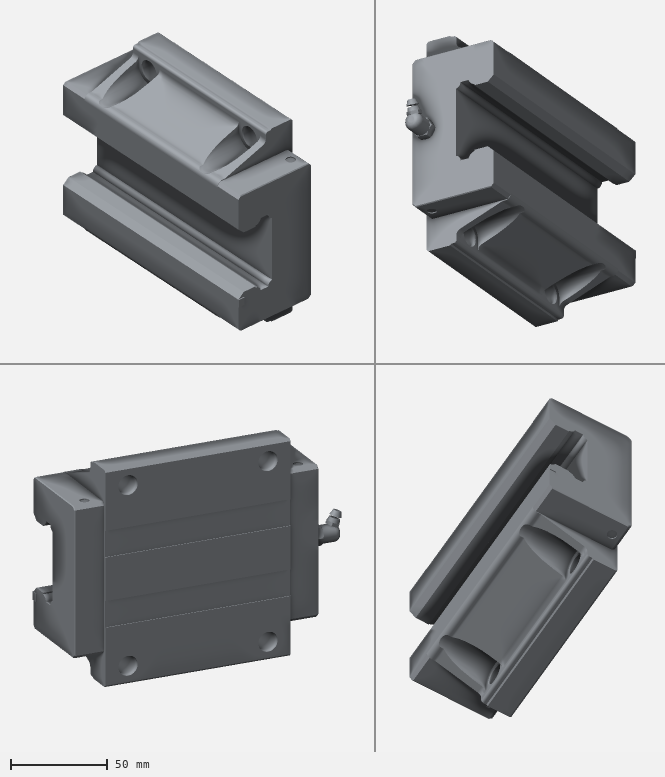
import cadquery as cq
import math


overall_length = 156.7
carriage_depth = 51.1
flange_half_width = 60.0

block_length = 105.8
block_half_width = 42.6
block_foot_radius = 3.3
flange_edge_chamfer = 1.1
flange_step_y = -14.3
flange_step = 0.8
flange_ledge_y = -18.2
flange_ledge_radius = 1.5
slope_end_y = -46.0
slope_angle = 20.0
slope_root_radius = 3.1
slope_foot_radius = 2.7

relief_inner_z = 12.0
relief_outer_z = 26.8
relief_depth = 0.5

hole_spacing_x = 79.9
hole_spacing_z = 100.0
hole_diameter = 11.0
hole_chamfer = 0.55
spotface_diameter = 17.0

cap_half_span = 69.7
cap_half_width = 42.2
cap_face_y = -1.5
cap_corner_chamfer = 1.9
cap_end_chamfer = 0.5
pin_hole_x = 61.0
pin_hole_y = -8.1
pin_hole_diameter = 5.3
pin_hole_depth = 0.6

tab_projection = 0.5
tab_height = 3.8
tab_inner_z = -21.6
tab_width = 4.7

channel_floor_y = -28.2
race_edge_half_width = 19.3
race_groove_half_width = 22.4
race_groove_start_y = -30.9
race_groove_end_y = -35.9
race_bulge = 0.8
lip_half_width = 18.5
lip_start_y = -39.5
lip_end_y = -47.5
lip_mouth_half_width = 21.8

nipple_y = -10.3
nipple_hex_flats = 10.0
nipple_hex_length = 4.7
nipple_hex_bevel = 0.6
elbow_diameter = 9.9
elbow_end_x = -85.0
elbow_end_radius = 3.1
spout_tilt = 22.5
spout_hex_flats = 7.0
spout_hex_start = 4.5
spout_hex_end = 6.5
collar_end = 8.6
collar_end_radius = 3.0
neck_radius = 0.6
head_start = 9.7
head_end = 12.7
head_base_radius = 3.3
head_top_radius = 2.2
head_hole_diameter = 1.9
head_hole_depth = 0.8

tilt_sin = math.sin(math.radians(spout_tilt))
tilt_cos = math.cos(math.radians(spout_tilt))
head_reach = head_end * tilt_sin + head_top_radius * tilt_cos
spout_x = cap_half_span + tab_projection - overall_length + head_reach


def extrude_along_x(sketch_on_yz, length):
    """Extrude a closed YZ outline symmetrically about X = 0."""
    return sketch_on_yz.extrude(length / 2, both=True)


def round_edges_at(body, radius, y, z):
    """Fillet the lengthwise edges through (y, z) and (y, -z)."""
    for side in (1, -1):
        body = body.edges(cq.NearestToPointSelector((0, y, side * z))).fillet(radius)
    return body


def make_block():
    slope_rise = (flange_ledge_y - slope_end_y) * math.tan(math.radians(slope_angle))
    slope_root_z = block_half_width + slope_rise
    ledge_z = flange_half_width - flange_step
    half_outline = [
        (0, flange_half_width - flange_edge_chamfer),
        (-flange_edge_chamfer, flange_half_width),
        (flange_step_y, flange_half_width),
        (flange_step_y - flange_step, ledge_z),
        (flange_ledge_y, ledge_z),
        (flange_ledge_y, slope_root_z),
        (slope_end_y, block_half_width),
        (-carriage_depth, block_half_width),
    ]
    mirrored = [(y, -z) for y, z in reversed(half_outline)]
    block = extrude_along_x(cq.Workplane("YZ").polyline(half_outline + mirrored).close(), block_length)
    block = round_edges_at(block, flange_ledge_radius, flange_ledge_y, ledge_z)
    block = round_edges_at(block, slope_root_radius, flange_ledge_y, slope_root_z)
    block = round_edges_at(block, slope_foot_radius, slope_end_y, block_half_width)
    block = round_edges_at(block, block_foot_radius, -carriage_depth, block_half_width)

    relief_width = relief_outer_z - relief_inner_z
    relief_centre_z = (relief_outer_z + relief_inner_z) / 2
    for side in (1, -1):
        relief = cq.Workplane("XY").box(block_length, 2 * relief_depth, relief_width)
        block = block.cut(relief.translate((0, 0, side * relief_centre_z)))
    return block


def make_mounting_hole_cutter(x, side):
    """Through hole with a spotface that is open toward the flange edge."""
    centre_z = side * hole_spacing_z / 2
    spot_depth = carriage_depth + flange_ledge_y
    mouth_width = flange_half_width - hole_spacing_z / 2
    plane = cq.Workplane("XZ", origin=(x, 0, centre_z))
    hole = plane.circle(hole_diameter / 2).extrude(carriage_depth)
    spot_plane = plane.workplane(offset=-flange_ledge_y)
    spot = spot_plane.circle(spotface_diameter / 2).extrude(spot_depth)
    mouth = (
        spot_plane.center(0, side * mouth_width / 2)
        .rect(spotface_diameter, mouth_width)
        .extrude(spot_depth)
    )
    countersink = (
        spot_plane.circle(hole_diameter / 2 + hole_chamfer)
        .workplane(offset=-hole_chamfer)
        .circle(hole_diameter / 2)
        .loft()
    )
    return hole.union(spot).union(mouth).union(countersink)


def make_caps():
    """Both end caps as one bar; the steel block covers its middle."""
    height = carriage_depth + cap_face_y
    centre_y = (cap_face_y - carriage_depth) / 2
    bar = cq.Workplane("XY").box(2 * cap_half_span, height, 2 * cap_half_width)
    bar = bar.edges("|X").chamfer(cap_corner_chamfer).translate((0, centre_y, 0))
    end_edge_limit_y = -carriage_depth + 2 * cap_corner_chamfer
    upper_region = cq.selectors.BoxSelector(
        (-cap_half_span - 1.5, end_edge_limit_y, -cap_half_width - 1.5),
        (cap_half_span + 1.5, 1.5, cap_half_width + 1.5),
    )
    end_edges = bar.faces("<X or >X").edges(upper_region)
    bar = end_edges.chamfer(cap_end_chamfer)
    for x in (-pin_hole_x, pin_hole_x):
        for side in (1, -1):
            pin_hole = (
                cq.Workplane("XY", origin=(x, pin_hole_y, side * cap_half_width))
                .circle(pin_hole_diameter / 2)
                .extrude(-side * pin_hole_depth)
            )
            bar = bar.cut(pin_hole)
    return bar


def make_seal_tab():
    return cq.Workplane("XY").box(2 * tab_projection, tab_height, tab_width).translate(
        (cap_half_span, -carriage_depth + tab_height / 2, tab_inner_z - tab_width / 2)
    )


def make_channel_cutter():
    """Rail channel with a bulged race on each flank of its undercut grooves."""
    mouth_y = -carriage_depth
    outline = (
        cq.Workplane("YZ")
        .moveTo(channel_floor_y, -race_edge_half_width)
        .lineTo(channel_floor_y, race_edge_half_width)
        .sagittaArc((race_groove_start_y, race_groove_half_width), race_bulge)
        .lineTo(race_groove_end_y, race_groove_half_width)
        .sagittaArc((lip_start_y, race_edge_half_width), race_bulge)
        .lineTo(lip_start_y, lip_half_width)
        .lineTo(lip_end_y, lip_half_width)
        .lineTo(mouth_y, lip_mouth_half_width)
        .lineTo(mouth_y, -lip_mouth_half_width)
        .lineTo(lip_end_y, -lip_half_width)
        .lineTo(lip_start_y, -lip_half_width)
        .lineTo(lip_start_y, -race_edge_half_width)
        .sagittaArc((race_groove_end_y, -race_groove_half_width), race_bulge)
        .lineTo(race_groove_start_y, -race_groove_half_width)
        .sagittaArc((channel_floor_y, -race_edge_half_width), race_bulge)
        .close()
    )
    return extrude_along_x(outline, 2 * cap_half_span)


def corner_diameter(flats):
    return flats / math.cos(math.pi / 6)


def make_spout():
    """Turned spout along local +Z, starting on the elbow axis."""
    hexagon = (
        cq.Workplane("XY", origin=(0, 0, spout_hex_start))
        .polygon(6, corner_diameter(spout_hex_flats))
        .extrude(spout_hex_end - spout_hex_start)
    )
    turned_profile = [
        (0, 0),
        (neck_radius, 0),
        (neck_radius, spout_hex_start),
        (spout_hex_flats / 2, spout_hex_start),
        (spout_hex_flats / 2, spout_hex_end),
        (collar_end_radius, collar_end),
        (neck_radius, collar_end),
        (neck_radius, head_start),
        (head_base_radius, head_start),
        (head_top_radius, head_end),
        (0, head_end),
    ]
    turned = cq.Workplane("XZ").polyline(turned_profile).close().revolve(360, (0, 0), (0, 1))
    head_hole = (
        cq.Workplane("XY", origin=(0, 0, head_end))
        .circle(head_hole_diameter / 2)
        .extrude(-head_hole_depth)
    )
    return hexagon.union(turned).cut(head_hole)


def make_nipple():
    base = cq.Workplane("YZ", origin=(-cap_half_span, nipple_y, 0))
    hexagon = base.polygon(6, corner_diameter(nipple_hex_flats)).extrude(-nipple_hex_length)
    bevel_blank = base.circle(corner_diameter(nipple_hex_flats) / 2).extrude(-nipple_hex_length)
    hexagon = hexagon.intersect(bevel_blank.edges().chamfer(nipple_hex_bevel))
    elbow = base.circle(elbow_diameter / 2).extrude(elbow_end_x + cap_half_span)
    elbow = elbow.faces("<X").edges().fillet(elbow_end_radius)
    spout = make_spout().rotate((0, 0, 0), (0, 1, 0), -spout_tilt).translate((spout_x, nipple_y, 0))
    return hexagon.union(elbow).union(spout)


block = make_block()
for hole_x in (-hole_spacing_x / 2, hole_spacing_x / 2):
    for flange_side in (1, -1):
        block = block.cut(make_mounting_hole_cutter(hole_x, flange_side))

block_envelope = cq.Workplane("XY").box(block_length, 3 * carriage_depth, 3 * flange_half_width)
caps = make_caps().cut(block_envelope)

carriage = block.union(caps).cut(make_channel_cutter())
result = carriage.union(make_seal_tab()).union(make_nipple())